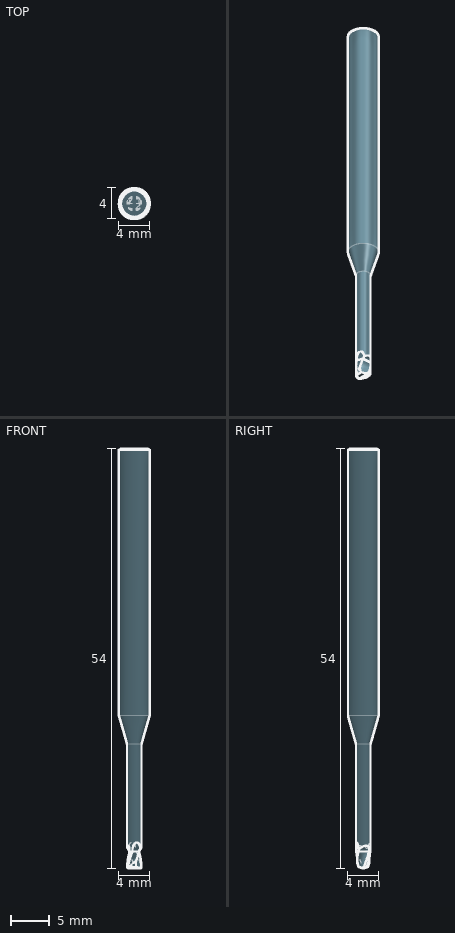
import cadquery as cq
import math

overall_length = 54.0
head_length = 2.2
flute_end_height = 2.8
back_flat_end_height = 3.35
neck_top_height = 16.0

shank_radius = 2.0
neck_radius = 0.95
cone_angle = 16.0
shank_bottom_height = neck_top_height + (shank_radius - neck_radius) / math.tan(math.radians(cone_angle))
chamfer_width = 0.3
chamfer_height = 0.2

head_radius = neck_radius
core_radius = 0.6
back_flat_distance = 0.78
back_flat_angle = -70.0
corner_radius = 0.3
tip_bevel_height = 0.2
relief_half_width = 0.62
relief_height = 1.3
tip_angle = 40.0
head_top_angle = 90.0
helix_angle = math.degrees(math.atan(math.radians(head_top_angle - tip_angle) * head_radius / head_length))


def make_blade():
    """Round bar with two flats per flute, twisted right-handed from the tip to the top of the head."""
    flats = cq.Sketch().rect(2 * head_radius, 2 * core_radius)
    back_flats = cq.Sketch().rect(2 * head_radius, 2 * back_flat_distance)
    section = (
        cq.Sketch().circle(head_radius)
        .face(flats, mode="i")
        .face(back_flats, angle=back_flat_angle, mode="i")
    )
    blade = cq.Workplane("XY").placeSketch(section).twistExtrude(head_length, head_top_angle - tip_angle)
    return blade.rotate((0, 0, 0), (0, 0, 1), tip_angle)


def make_cutting_head():
    corner_envelope = (
        cq.Workplane("XY").circle(head_radius).extrude(head_length)
        .faces("<Z").edges().fillet(corner_radius)
    )
    relief_envelope = (
        cq.Workplane("YZ")
        .polyline([
            (0, 0),
            (relief_half_width, tip_bevel_height),
            (head_radius, relief_height),
            (head_radius, head_length),
            (-head_radius, head_length),
            (-head_radius, relief_height),
            (-relief_half_width, tip_bevel_height),
        ])
        .close()
        .extrude(head_radius, both=True)
    )
    return make_blade().intersect(corner_envelope).intersect(relief_envelope)


def make_runout_disc(flat_distance, end_height, tilt):
    """Disc on the +X side that sweeps a flute flat out to the neck surface."""
    rise = neck_radius - flat_distance
    run = end_height - head_length
    disc_radius = (rise ** 2 + run ** 2) / (2 * rise)
    disc = cq.Workplane("XZ").circle(disc_radius).extrude(shank_radius, both=True)
    tilted_disc = disc.rotate((0, 0, 0), (1, 0, 0), tilt)
    return tilted_disc.translate((flat_distance + disc_radius, 0, head_length))


def make_shank():
    shank = (
        cq.Workplane("YZ")
        .polyline([
            (0, head_length),
            (neck_radius, head_length),
            (neck_radius, neck_top_height),
            (shank_radius, shank_bottom_height),
            (shank_radius, overall_length - chamfer_height),
            (shank_radius - chamfer_width, overall_length),
            (0, overall_length),
        ])
        .close()
        .revolve(360, (0, 0), (0, 1))
    )
    main_disc = make_runout_disc(core_radius, flute_end_height, helix_angle)
    back_disc = make_runout_disc(back_flat_distance, back_flat_end_height, 0)
    for flute_angle in (0, 180):
        shank = shank.cut(main_disc.rotate((0, 0, 0), (0, 0, 1), flute_angle))
        shank = shank.cut(back_disc.rotate((0, 0, 0), (0, 0, 1), flute_angle + back_flat_angle))
    return shank


cutting_head = make_cutting_head()
shank = make_shank()

result = cq.Compound.makeCompound([cutting_head.val(), shank.val()])